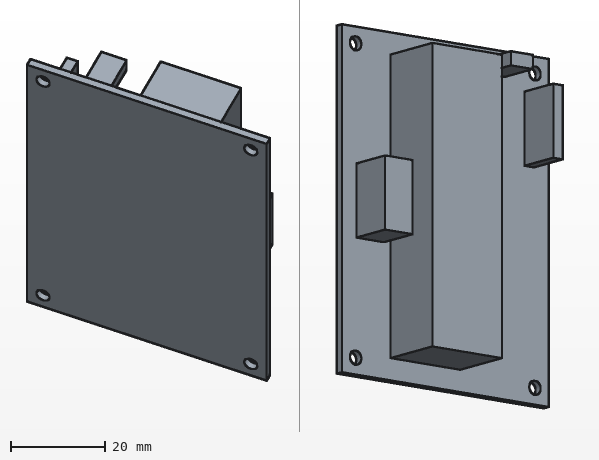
import cadquery as cq

board_width = 55.5
board_height = 75.55
board_thickness = 1.8
hole_diameter = 3.0
hole_pitch_x = 48.1
hole_pitch_z = 68.2

total_depth = 16.25
module_depth = total_depth - board_thickness
connector_depth = 10.0

side_connector_height = 16.1
side_connector = (4.0, 51.45, 2.6, side_connector_height)
top_connector = (12.0, 69.95, 5.9, 3.1)
display_module = (23.8, 4.8, 18.65, 65.9)

end_connector_bottom = (board_height - side_connector_height) / 2
end_connector = (44.3, end_connector_bottom, 7.4, side_connector_height)


def make_board():
    board = cq.Workplane("XY").box(
        board_width, board_thickness, board_height, centered=(True, False, True)
    )
    return (
        board.faces("<Y")
        .workplane(centerOption="CenterOfBoundBox")
        .rect(hole_pitch_x, hole_pitch_z, forConstruction=True)
        .vertices()
        .hole(hole_diameter)
    )


def make_component(placement, depth):
    left, bottom, width, height = placement
    block = cq.Workplane("XY").box(width, depth, height, centered=False)
    return block.translate(
        (left - board_width / 2, board_thickness, bottom - board_height / 2)
    )


result = make_board().union(make_component(display_module, module_depth))
for connector in (side_connector, top_connector, end_connector):
    result = result.union(make_component(connector, connector_depth))